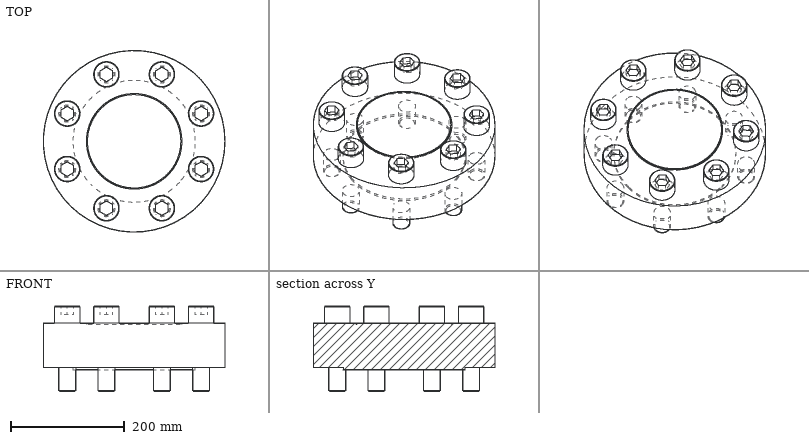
import cadquery as cq

full_turn = 360.0

flange_diameter = 320.0
flange_thickness = 78.0

raised_face_diameter = 215.0
raised_face_height = 4.0

groove_outer_diameter = 168.3
groove_width = 2.0
groove_depth = 2.0

screw_count = 8
bolt_circle_diameter = 255.0
first_screw_angle = full_turn / screw_count / 2
head_diameter = 45.0
head_height = 30.0
head_chamfer = 1.0
shank_diameter = 30.0
shank_length = 120.0
shank_chamfer = 2.0
socket_sides = 6
socket_across_flats = 22.0
socket_depth = 15.0


def make_flange():
    disc = cq.Workplane("XY").circle(flange_diameter / 2).extrude(flange_thickness)
    raised_face = cq.Workplane("XY").circle(raised_face_diameter / 2).extrude(-raised_face_height)
    return disc.union(raised_face)


def make_groove():
    """V-shaped ring with an upright outer wall and a sloping inner wall."""
    outer_radius = groove_outer_diameter / 2
    bottom = flange_thickness - groove_depth
    return (
        cq.Workplane("XZ")
        .moveTo(outer_radius, bottom)
        .lineTo(outer_radius, flange_thickness)
        .lineTo(outer_radius - groove_width, flange_thickness)
        .close()
        .revolve(full_turn, (0, 0, 0), (0, 1, 0))
    )


def make_screw():
    """Screw on the Z axis, with its head resting on Z = 0 and a hexagon corner toward +Y."""
    head = cq.Workplane("XY").circle(head_diameter / 2).extrude(head_height)
    head = head.faces(">Z").edges().chamfer(head_chamfer)
    shank = cq.Workplane("XY").circle(shank_diameter / 2).extrude(-shank_length)
    shank = shank.faces("<Z").edges().chamfer(shank_chamfer)
    socket = (
        cq.Workplane("XY", origin=(0, 0, head_height))
        .polygon(socket_sides, socket_across_flats, circumscribed=True)
        .extrude(-socket_depth)
    )
    return head.union(shank).cut(socket)


def make_all_screws():
    screw = make_screw().val()
    return (
        cq.Workplane("XY", origin=(0, 0, flange_thickness))
        .polarArray(bolt_circle_diameter / 2, first_screw_angle, full_turn, screw_count, rotate=False)
        .eachpoint(lambda location: screw.moved(location), combine=False)
    )


result = make_flange().cut(make_groove()).union(make_all_screws())